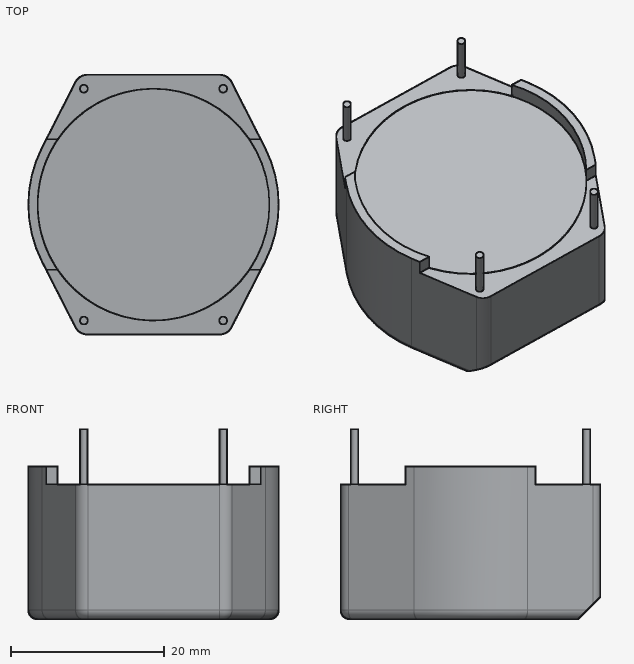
import cadquery as cq
import math

body_length = 33.9
half_length = body_length / 2
body_radius = 16.35
flank_angle = math.radians(27.0)
corner_radius = 1.8

shoulder_height = 17.6
wall_height = 19.95
pin_top = 24.8

cavity_radius = 15.12
recess_depth = 0.1
pin_root_depth = 0.1
wall_half_width = 8.5
bottom_fillet = 1.22
key_chamfer = 2.9
pin_radius = 0.5
pin_x = 9.1
pin_y = cavity_radius


def housing_blank():
    """Full-height prism with rounded corners and a rounded bottom edge."""
    tangent_x = body_radius * math.cos(flank_angle)
    tangent_y = body_radius * math.sin(flank_angle)
    corner_x = (body_radius - half_length * math.sin(flank_angle)) / math.cos(flank_angle)
    blank = (
        cq.Workplane("XY")
        .moveTo(-corner_x, -half_length)
        .lineTo(corner_x, -half_length)
        .lineTo(tangent_x, -tangent_y)
        .threePointArc((body_radius, 0), (tangent_x, tangent_y))
        .lineTo(corner_x, half_length)
        .lineTo(-corner_x, half_length)
        .lineTo(-tangent_x, tangent_y)
        .threePointArc((-body_radius, 0), (-tangent_x, -tangent_y))
        .close()
        .extrude(wall_height)
    )
    blank = blank.edges("|Z and (>Y or <Y)").fillet(corner_radius)
    return blank.faces("<Z").edges().fillet(bottom_fillet)


def key_cut():
    """Wedge that bevels the bottom of the +Y end."""
    return (
        cq.Workplane("YZ")
        .moveTo(half_length, 0)
        .lineTo(half_length, key_chamfer)
        .lineTo(half_length - key_chamfer, 0)
        .close()
        .extrude(body_radius, both=True)
    )


def end_cut(side):
    """Block that lowers one end of the housing to the shoulder."""
    cut_length = half_length - wall_half_width
    return (
        cq.Workplane("XY", origin=(0, side * (wall_half_width + cut_length / 2), shoulder_height))
        .rect(2 * body_radius, cut_length)
        .extrude(wall_height - shoulder_height)
    )


def recess():
    """Round opening between the walls, with its floor just below the shoulder."""
    floor_height = shoulder_height - recess_depth
    return (
        cq.Workplane("XY", origin=(0, 0, floor_height))
        .circle(cavity_radius)
        .extrude(wall_height - floor_height)
    )


def pins():
    """Four terminal pins, rooted slightly below the recess floor."""
    pin_base = shoulder_height - recess_depth - pin_root_depth
    return (
        cq.Workplane("XY", origin=(0, 0, pin_base))
        .rect(2 * pin_x, 2 * pin_y, forConstruction=True)
        .vertices()
        .circle(pin_radius)
        .extrude(pin_top - pin_base)
    )


housing = housing_blank().cut(key_cut()).cut(recess())
for side in (-1, 1):
    housing = housing.cut(end_cut(side))

result = housing.union(pins())